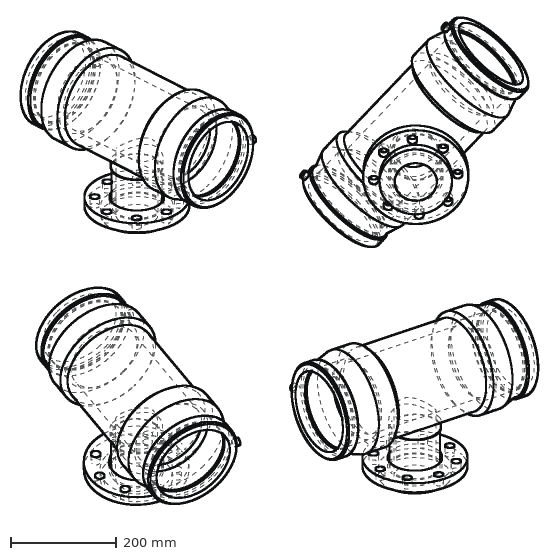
import cadquery as cq

length = 440.0
half_length = length / 2
pipe_diameter = 187.5
bore_diameter = 144.0

collar_diameter = 193.5
collar_width = 26.5
collar_chamfer = 3.0
bell_diameter = 208.0
bell_start = 34.0
bell_full = 66.5
bell_end = 110.0
shoulder_end = 119.5
socket_diameter = 160.0
socket_depth = 86.0
socket_taper_length = 9.0
groove_diameter = 162.0
groove_start = 22.0
groove_width = 4.0

pin_diameter = 16.0
pin_tip_y = 106.0
pin_height = 11.0
pin_inset = 13.0

branch_bottom = -210.0
weld_collar_diameter = 100.0
weld_collar_bottom = -bell_diameter / 2
branch_diameter = 96.0
branch_bore = 80.0

flange_diameter = 200.0
flange_thickness = 20.0
flange_bore = 104.0
stub_diameter = 138.0
stub_height = 20.2
bolt_count = 8
bolt_hole_diameter = 18.0
bolt_circle_diameter = 160.0


def disc(diameter, bottom, top):
    """Vertical cylinder on the branch axis."""
    return cq.Workplane("XY").workplane(offset=bottom).circle(diameter / 2).extrude(top - bottom)


def revolve_both_ends(half_profile):
    """Mirror (distance from end, radius) points about X = 0 and revolve the closed outline about X."""
    left = [(distance - half_length, radius) for distance, radius in half_profile]
    right = [(-x, radius) for x, radius in reversed(left)]
    outline = [(-half_length, 0)] + left + right + [(half_length, 0)]
    return cq.Workplane("XY").polyline(outline).close().revolve(360, (0, 0, 0), (1, 0, 0))


def run_body():
    pipe_radius = pipe_diameter / 2
    collar_radius = collar_diameter / 2
    bell_radius = bell_diameter / 2
    return revolve_both_ends([
        (0, collar_radius - collar_chamfer),
        (collar_chamfer, collar_radius),
        (collar_width - collar_chamfer, collar_radius),
        (collar_width, pipe_radius),
        (bell_start, pipe_radius),
        (bell_full, bell_radius),
        (bell_end, bell_radius),
        (shoulder_end, pipe_radius),
    ])


def run_bore():
    socket_radius = socket_diameter / 2
    groove_radius = groove_diameter / 2
    groove_end = groove_start + groove_width
    return revolve_both_ends([
        (0, socket_radius),
        (groove_start, socket_radius),
        (groove_start, groove_radius),
        (groove_end, groove_radius),
        (groove_end, socket_radius),
        (socket_depth, socket_radius),
        (socket_depth + socket_taper_length, bore_diameter / 2),
    ])


def branch_body():
    stub_top = branch_bottom + stub_height
    pipe = disc(branch_diameter, branch_bottom, 0)
    weld_collar = disc(weld_collar_diameter, weld_collar_bottom, 0)
    stub = disc(stub_diameter, branch_bottom, stub_top)
    flange = disc(flange_diameter, stub_top, stub_top + flange_thickness)
    flange = flange.faces(">Z").workplane().hole(flange_bore)
    flange = (
        flange.faces(">Z").workplane()
        .polarArray(bolt_circle_diameter / 2, 0, 360, bolt_count)
        .hole(bolt_hole_diameter)
    )
    return pipe.union(weld_collar).union(stub).union(flange)


def pin(x):
    return (
        cq.Workplane("XZ", origin=(x, pin_tip_y, 0))
        .circle(pin_diameter / 2)
        .extrude(pin_height)
    )


result = run_body().union(branch_body())
for side in (-1, 1):
    result = result.union(pin(side * (half_length - pin_inset)))
result = result.cut(run_bore()).cut(disc(branch_bore, branch_bottom, 0))